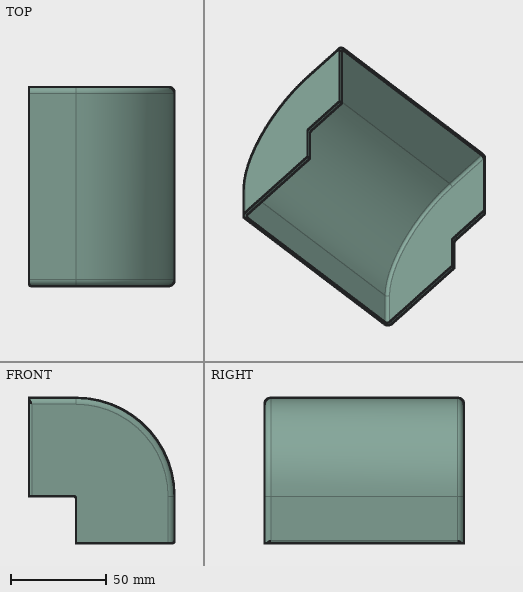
import cadquery as cq

side = 76.8
width = 105.0
leg = 24.8
wall = 1.8
corner_radius = 3.5
rim_radius = 1.6
notch_radius = 1.0

bend_radius = side - leg


def bent_block(radius, half_width, leg_end):
    """Solid elbow: two straight legs joined by a quarter round."""
    return (
        cq.Workplane("XZ", origin=(0, half_width, 0))
        .moveTo(-leg_end, 0)
        .lineTo(-leg_end, radius)
        .lineTo(0, radius)
        .radiusArc((radius, 0), radius)
        .lineTo(radius, -leg_end)
        .lineTo(0, -leg_end)
        .lineTo(0, 0)
        .close()
        .extrude(2 * half_width)
    )


def round_cover_edges(block, radius, fillet_radius):
    """Round the two bent edges where the side walls meet the cover."""
    middle = radius / 2**0.5
    for y_selector in ("<Y", ">Y"):
        block = (
            block.faces(y_selector)
            .edges(cq.selectors.NearestToPointSelector((middle, 0, middle)))
            .fillet(fillet_radius)
        )
    return block


front_rim = bent_block(bend_radius, width / 2, leg).faces("<X").edges("<Y").fillet(rim_radius)
foot_rim = bent_block(bend_radius, width / 2, leg).faces("<Z").edges(">X").fillet(rim_radius)
outer = round_cover_edges(bent_block(bend_radius, width / 2, leg), bend_radius, corner_radius)
outer = outer.intersect(front_rim).intersect(foot_rim)

inner_radius = bend_radius - wall
cavity = bent_block(inner_radius, width / 2 - wall, leg)
cavity = round_cover_edges(cavity, inner_radius, corner_radius - wall)

shell = outer.cut(cavity)

notch_corners = cq.selectors.BoxSelector((-wall, -width, -wall), (wall, width, wall))
result = shell.edges("|Y").edges(notch_corners).fillet(notch_radius)